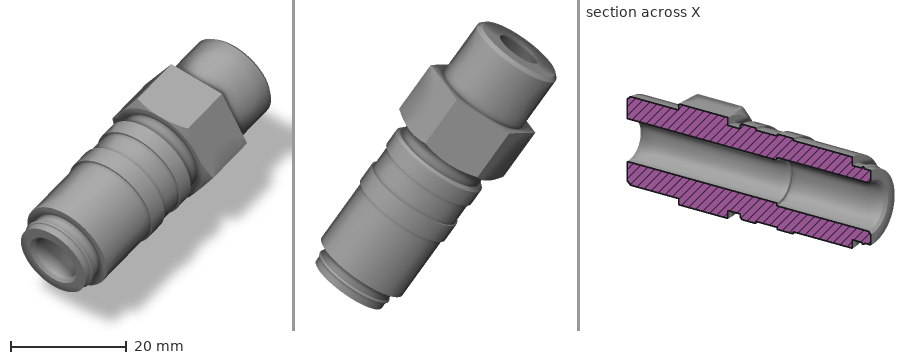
import cadquery as cq
import math

total_length = 52.0

spigot_diameter = 14.05
spigot_length = 3.95
bead_position = 1.65
bead_radius = 0.3

body_diameter = 17.2
band_diameter = 18.0
front_band_start = 16.5
front_band_end = 20.0
rear_band_start = 24.5
rear_band_end = 28.0
band_chamfer = 0.45

neck_diameter = 16.05
hex_start = 30.45
hex_end = 41.05
hex_across_flats = 19.0
hex_chamfer_angle = 30.0
stub_diameter = 16.7
stub_chamfer = 0.7

bore_diameter = 7.95
counterbore_diameter = 9.0
counterbore_depth = 20.0
mouth_chamfer = 0.5


def cylinder(diameter, start, end):
    """Cylinder about the Y axis between two Y positions."""
    disc = cq.Workplane("XZ", origin=(0, start, 0)).circle(diameter / 2)
    return disc.extrude(start - end)


def make_body():
    """Spigot, body, raised bands and neck."""
    rear_band = cylinder(band_diameter, rear_band_start, rear_band_end)
    rear_band = rear_band.faces(">Y").chamfer(band_chamfer)
    body = cylinder(spigot_diameter, 0, spigot_length)
    body = body.union(cylinder(body_diameter, spigot_length, rear_band_start))
    body = body.union(cylinder(band_diameter, front_band_start, front_band_end))
    body = body.union(rear_band)
    return body.union(cylinder(neck_diameter, rear_band_end, hex_start))


def make_bead():
    """Ring of round section half sunk in the spigot."""
    section = cq.Workplane("XY").center(spigot_diameter / 2, bead_position).circle(bead_radius)
    return section.revolve(360, (-spigot_diameter / 2, 0), (-spigot_diameter / 2, 1))


def make_hexagon():
    """Hexagon with corners on X and a conical chamfer on its front face."""
    across_corners = hex_across_flats / math.cos(math.radians(30))
    prism = cq.Workplane("XZ", origin=(0, hex_start, 0)).polygon(6, across_corners)
    prism = prism.extrude(hex_start - hex_end)
    flat_radius = hex_across_flats / 2
    corner_radius = across_corners / 2
    chamfer_length = (corner_radius - flat_radius) * math.tan(math.radians(hex_chamfer_angle))
    envelope = (
        cq.Workplane("XY")
        .moveTo(0, hex_start)
        .lineTo(flat_radius, hex_start)
        .lineTo(corner_radius, hex_start + chamfer_length)
        .lineTo(corner_radius, hex_end)
        .lineTo(0, hex_end)
        .close()
        .revolve(360, (0, 0), (0, 1))
    )
    return prism.intersect(envelope)


def make_stub():
    """Plain rear stub with a chamfered end."""
    stub = cylinder(stub_diameter, hex_end, total_length)
    return stub.faces(">Y").chamfer(stub_chamfer)


def make_bore():
    """Through bore with a counterbore and a conical mouth at the front."""
    mouth_radius = counterbore_diameter / 2 + mouth_chamfer
    return (
        cq.Workplane("XY")
        .lineTo(mouth_radius, 0)
        .lineTo(counterbore_diameter / 2, mouth_chamfer)
        .lineTo(counterbore_diameter / 2, counterbore_depth)
        .lineTo(bore_diameter / 2, counterbore_depth)
        .lineTo(bore_diameter / 2, total_length)
        .lineTo(0, total_length)
        .close()
        .revolve(360, (0, 0), (0, 1))
    )


outside = make_body().union(make_bead()).union(make_hexagon()).union(make_stub())
result = outside.cut(make_bore())